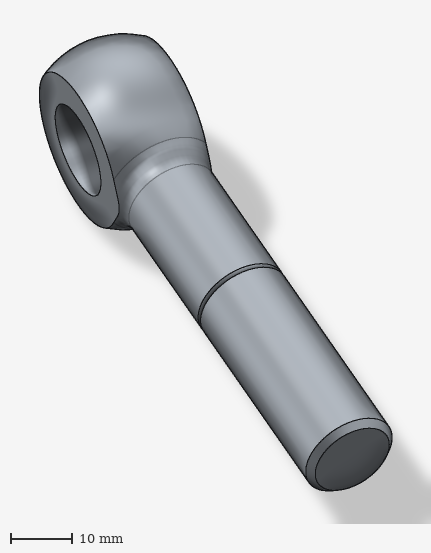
import cadquery as cq
import math

overall_length = 95.95
eye_radius = 16.0
eye_width = 17.0
bore_diameter = 16.0
shank_radius = 8.0
neck_radius = 5.5
thread_length = 38.0
groove_size = 0.9
end_chamfer = 1.15

shank_end = overall_length - eye_radius
thread_start = shank_end - thread_length
groove_start = thread_start - groove_size

neck_center_r = shank_radius + neck_radius
neck_center_x = math.sqrt((eye_radius + neck_radius) ** 2 - neck_center_r**2)
neck_angle = math.atan2(neck_center_r, neck_center_x)


def on_eye(angle):
    """Point of the eye's sphere outline at an angle from +X."""
    return eye_radius * math.cos(angle), eye_radius * math.sin(angle)


def on_neck(angle):
    """Point of the neck arc at an angle from +X."""
    return (
        neck_center_x + neck_radius * math.cos(angle),
        neck_center_r + neck_radius * math.sin(angle),
    )


def make_body():
    """Revolve the outline about X; the groove has a 45 degree flank and a square wall."""
    neck_mid = (neck_angle + math.pi + 3 * math.pi / 2) / 2
    return (
        cq.Workplane("XY")
        .moveTo(-eye_radius, 0)
        .threePointArc(on_eye((neck_angle + math.pi) / 2), on_eye(neck_angle))
        .threePointArc(on_neck(neck_mid), (neck_center_x, shank_radius))
        .lineTo(groove_start, shank_radius)
        .lineTo(thread_start, shank_radius - groove_size)
        .lineTo(thread_start, shank_radius)
        .lineTo(shank_end - end_chamfer, shank_radius)
        .lineTo(shank_end, shank_radius - end_chamfer)
        .lineTo(shank_end, 0)
        .close()
        .revolve(360, (0, 0, 0), (1, 0, 0))
    )


def flatten_eye(body):
    """Trim the part to the flat eye faces at +Y and -Y."""
    slab = cq.Workplane("XY").box(2 * overall_length, eye_width, 4 * eye_radius)
    return body.intersect(slab)


def cut_bore(body):
    """Cut the pin bore through the eye along Y."""
    bore = cq.Workplane("XZ").circle(bore_diameter / 2).extrude(eye_width, both=True)
    return body.cut(bore)


result = cut_bore(flatten_eye(make_body()))